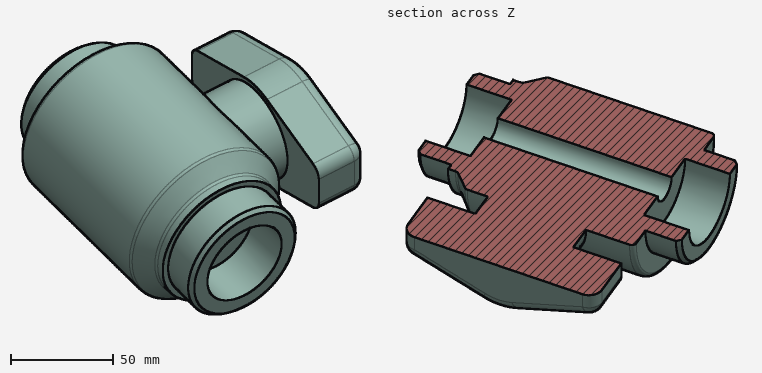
import cadquery as cq
import math

length = 144.0
overall_depth = 132.0
spigot_length = 18.9
spigot_diameter = 65.0
spigot_chamfer = 2.2
body_diameter = 90.0
body_edge_radius = 2.5
cone_start = 110.9
collar_diameter = 71.5
collar_length = 5.0
cone_blend_radius = 2.2
socket_diameter = 44.8
socket_depth = 24.5
port_diameter = 15.1

stem_diameter = 53.9

handle_length = 106.1
handle_width = 59.6
handle_end_width = 26.8
handle_bottom = 58.5
handle_top = overall_depth - body_diameter / 2
handle_corner_radius = 7.2
handle_edge_radius = 7.2

match_tolerance = 0.01


def make_body():
    """Revolve the stepped outside of the valve body about the X axis."""
    spigot_radius = spigot_diameter / 2
    body_radius = body_diameter / 2
    collar_radius = collar_diameter / 2
    body_end = length - spigot_length
    collar_start = body_end - collar_length
    body = (
        cq.Workplane("XY")
        .moveTo(0, 0)
        .lineTo(0, spigot_radius - spigot_chamfer)
        .lineTo(spigot_chamfer, spigot_radius)
        .lineTo(spigot_length, spigot_radius)
        .lineTo(spigot_length, body_radius - body_edge_radius)
        .radiusArc((spigot_length + body_edge_radius, body_radius), body_edge_radius)
        .lineTo(cone_start, body_radius)
        .lineTo(collar_start, collar_radius)
        .lineTo(body_end, collar_radius)
        .lineTo(body_end, spigot_radius)
        .lineTo(length - spigot_chamfer, spigot_radius)
        .lineTo(length, spigot_radius - spigot_chamfer)
        .lineTo(length, 0)
        .close()
        .revolve(360, (0, 0, 0), (1, 0, 0))
    )

    def is_cone_end(edge):
        middle = edge.BoundingBox().center.x
        return any(abs(middle - x) < match_tolerance for x in (cone_start, collar_start))

    cone_edges = [edge for edge in body.edges("%CIRCLE").vals() if is_cone_end(edge)]
    return body.newObject(cone_edges).fillet(cone_blend_radius)


def make_stem():
    """Round stem from the flow axis up to the underside of the handle."""
    return (
        cq.Workplane("XZ", origin=(length / 2, 0, 0))
        .circle(stem_diameter / 2)
        .extrude(-handle_bottom)
    )


def make_handle():
    """Handle whose straight flanks are tangent to a round hub."""
    hub_radius = handle_width / 2
    tip_x = handle_length / 2
    tip_z = handle_end_width / 2
    tangent_angle = math.atan2(tip_z, tip_x) + math.acos(hub_radius / math.hypot(tip_x, tip_z))
    tangent_x = hub_radius * math.cos(tangent_angle)
    tangent_z = hub_radius * math.sin(tangent_angle)
    return (
        cq.Workplane("XZ", origin=(length / 2, handle_bottom, 0))
        .moveTo(-tip_x, -tip_z)
        .lineTo(-tip_x, tip_z)
        .lineTo(-tangent_x, tangent_z)
        .threePointArc((0, hub_radius), (tangent_x, tangent_z))
        .lineTo(tip_x, tip_z)
        .lineTo(tip_x, -tip_z)
        .lineTo(tangent_x, -tangent_z)
        .threePointArc((0, -hub_radius), (-tangent_x, -tangent_z))
        .close()
        .extrude(handle_bottom - handle_top)
        .faces("<X or >X")
        .edges("|Y")
        .fillet(handle_corner_radius)
        .faces(">Y")
        .edges()
        .fillet(handle_edge_radius)
    )


def make_bore():
    """Through port with a wider socket in each end."""
    bore = cq.Workplane("YZ").circle(port_diameter / 2).extrude(length)
    for socket_start in (0, length - socket_depth):
        socket = (
            cq.Workplane("YZ", origin=(socket_start, 0, 0))
            .circle(socket_diameter / 2)
            .extrude(socket_depth)
        )
        bore = bore.union(socket)
    return bore


result = make_body().union(make_stem()).union(make_handle()).cut(make_bore())